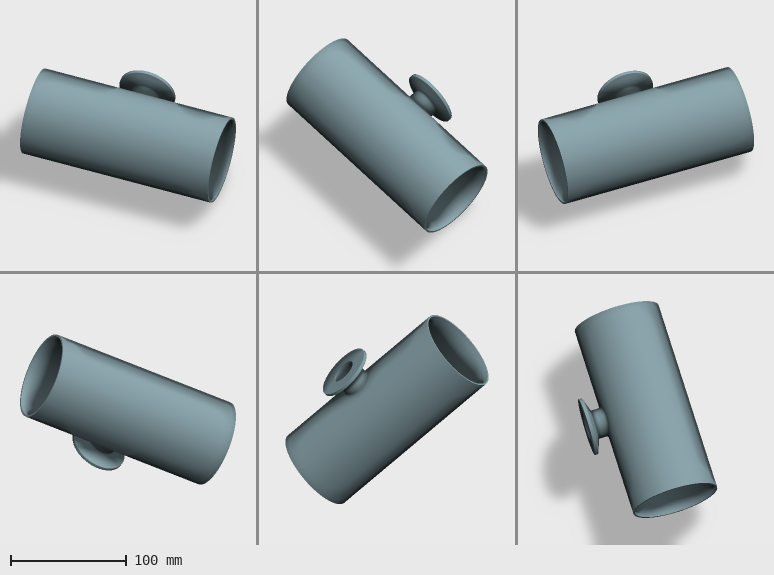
import cadquery as cq

tube_length = 171.5
tube_outer_radius = 76.1 / 2
tube_inner_radius = 72.9 / 2

overall_depth = 91.9
branch_face_y = overall_depth - tube_outer_radius
flange_radius = 50.4 / 2
neck_radius = 25.4 / 2
bore_radius = 22.1 / 2
foot_fillet_radius = 1.5

rim_width = 3.0
rim_edge_radius = 0.3
cone_end_depth = 7.5
cone_blend_radius = 1.2
rim_back_y = branch_face_y - rim_width
cone_end_y = branch_face_y - cone_end_depth


def cylinder_along_x(radius):
    return cq.Workplane("ZY").circle(radius).extrude(tube_length / 2, both=True)


def edge_around_branch(y):
    """Select the edge that circles the branch axis closest to the given Y."""
    return cq.selectors.NearestToPointSelector((0, y, 0))


def make_branch():
    """Solid neck with a cone-backed clamp flange, starting at the tube axis."""
    profile = [
        (0, 0),
        (neck_radius, 0),
        (neck_radius, cone_end_y),
        (flange_radius, rim_back_y),
        (flange_radius, branch_face_y),
        (0, branch_face_y),
    ]
    branch = cq.Workplane("XY").polyline(profile).close().revolve(360, (0, 0, 0), (0, 1, 0))
    blends = [
        (cone_end_y, cone_blend_radius),
        (rim_back_y, rim_edge_radius),
        (branch_face_y, rim_edge_radius),
    ]
    for edge_y, blend_radius in blends:
        branch = branch.edges(edge_around_branch(edge_y)).fillet(blend_radius)
    return branch


body = cylinder_along_x(tube_outer_radius).union(make_branch())
body = body.edges(edge_around_branch(tube_outer_radius)).fillet(foot_fillet_radius)

branch_bore = cq.Workplane("XZ").circle(bore_radius).extrude(-branch_face_y)
result = body.cut(cylinder_along_x(tube_inner_radius)).cut(branch_bore)